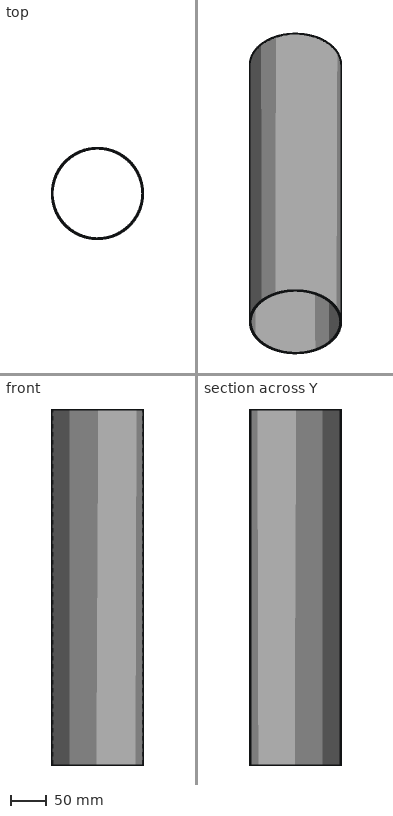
import cadquery as cq

length = 500.0
outer_diameter = 129.0
wall_thickness = 1.8

outer_radius = outer_diameter / 2
inner_radius = outer_radius - wall_thickness

result = (
    cq.Workplane("XY")
    .circle(outer_radius)
    .circle(inner_radius)
    .extrude(length)
)